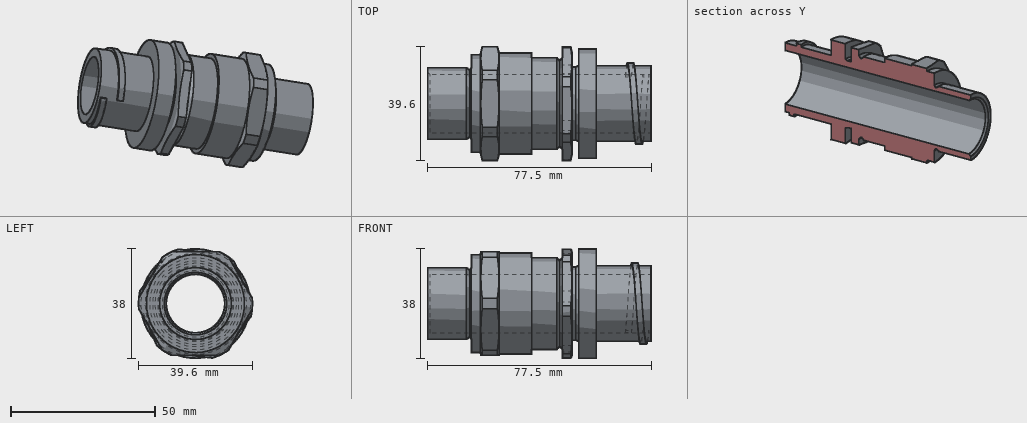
import cadquery as cq
import math

total_length = 77.52
inlet_groove_start = 13.4
inlet_groove_bottom = 14.6
collar_start = 15.15
nut_start = 18.2
nut_end = 24.85
body_step = 36.0
body_groove_start = 44.7
body_groove_bottom = 45.85
locknut_start = 46.7
locknut_end = 50.05
neck_cone_start = 51.4
flange_start = 52.3
flange_end = 58.45

bore_dia = 20.2
inlet_dia = 24.9
inlet_groove_dia = 23.2
collar_dia = 34.0
body_large_dia = 35.1
body_small_dia = 31.9
body_groove_dia = 29.8
neck_dia = 25.5
outlet_dia = 26.3
flange_dia = 38.0

bore_chamfer = 0.75

hex_across_flats = 36.0
hex_corner_dia = 39.58
nut_start_face_dia = collar_dia
nut_end_face_dia = body_large_dia
nut_chamfer_length = 0.7
nut_turn = 0.0
locknut_end_face_dia = 35.7
locknut_chamfer_length = 0.45
locknut_turn = 7.4

rib_outer_dia = 28.2
rib_pitch = 6.0
rib_start_x = 69.55
rib_start_angle = -45.0
rib_width = 2.1
rib_root_overlap = 0.5


def revolve_profile(points):
    """Turn a closed (x, radius) outline about the X axis."""
    return cq.Workplane("XY").polyline(points).close().revolve(360, (0, 0, 0), (1, 0, 0))


def make_turned_body():
    points = [
        (0, 0),
        (0, inlet_dia / 2),
        (inlet_groove_start, inlet_dia / 2),
        (inlet_groove_bottom, inlet_groove_dia / 2),
        (collar_start, inlet_dia / 2),
        (collar_start, collar_dia / 2),
        (nut_end, collar_dia / 2),
        (nut_end, body_large_dia / 2),
        (body_step, body_large_dia / 2),
        (body_step, body_small_dia / 2),
        (body_groove_start, body_small_dia / 2),
        (body_groove_bottom, body_groove_dia / 2),
        (locknut_start, body_small_dia / 2),
        (locknut_start, neck_dia / 2),
        (neck_cone_start, neck_dia / 2),
        (flange_start, outlet_dia / 2),
        (flange_start, flange_dia / 2),
        (flange_end, flange_dia / 2),
        (flange_end, outlet_dia / 2),
        (total_length, outlet_dia / 2),
        (total_length, 0),
    ]
    return revolve_profile(points)


def make_hexagon(x_start, x_end, turn, start_face_dia, end_face_dia, chamfer_length):
    """Hexagon with corners on the Y axis before turning, trimmed by a coned cylinder."""
    prism = (
        cq.Workplane("YZ", origin=(x_start, 0, 0))
        .polygon(6, hex_across_flats / math.cos(math.pi / 6))
        .extrude(x_end - x_start)
        .rotate((0, 0, 0), (1, 0, 0), turn)
    )
    corner_radius = hex_corner_dia / 2
    points = [(x_start, 0), (x_start, start_face_dia / 2)]
    if start_face_dia < hex_corner_dia:
        points.append((x_start + chamfer_length, corner_radius))
    points += [
        (x_end - chamfer_length, corner_radius),
        (x_end, end_face_dia / 2),
        (x_end, 0),
    ]
    return prism.intersect(revolve_profile(points))


def make_helical_rib():
    root_radius = outlet_dia / 2 - rib_root_overlap
    path = cq.Wire.makeHelix(rib_pitch, rib_pitch, outlet_dia / 2)
    radial_depth = rib_outer_dia / 2 - root_radius
    section_center = (root_radius + radial_depth / 2, 0, 0)
    section = cq.Workplane("XZ", origin=section_center).rect(radial_depth, rib_width)
    rib = section.sweep(path, isFrenet=True)
    rib = rib.rotate((0, 0, 0), (0, 0, 1), rib_start_angle)
    outlet_frame = cq.Plane(origin=(rib_start_x, 0, 0), xDir=(0, 1, 0), normal=(1, 0, 0))
    return cq.Workplane(rib.val().moved(cq.Location(outlet_frame)))


def make_bore():
    points = [
        (0, 0),
        (0, bore_dia / 2 + bore_chamfer),
        (bore_chamfer, bore_dia / 2),
        (total_length, bore_dia / 2),
        (total_length, 0),
    ]
    return revolve_profile(points)


nut = make_hexagon(
    nut_start, nut_end, nut_turn, nut_start_face_dia, nut_end_face_dia, nut_chamfer_length
)
locknut = make_hexagon(
    locknut_start,
    locknut_end,
    locknut_turn,
    hex_corner_dia,
    locknut_end_face_dia,
    locknut_chamfer_length,
)

result = make_turned_body().union(nut).union(locknut).union(make_helical_rib()).cut(make_bore())